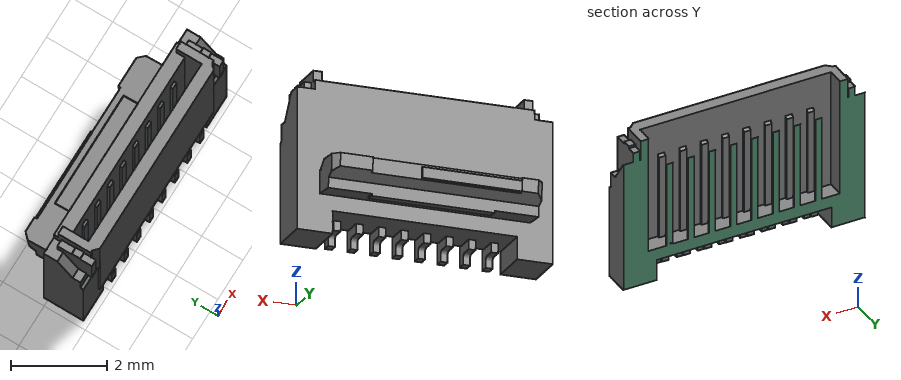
import cadquery as cq
import math

LENGTH = 5.7
HEIGHT = 3.6
DEPTH = 1.87

FRONT_Y = 0.07
REAR_Y = 1.03
PLATE_BOTTOM_Y = 0.015
PLATE_TOP_Y = 0.02
PLATE_HALF = 2.265
PLATE_BOTTOM = 0.67
TOWER_HALF = 2.445
TOWER_REAR_Y = 0.93
REAR_WALL_TOP = 3.36
STEP_Y = 0.135
STEP_Z = 2.27
STEP_INNER_HALF = 2.38
EAR_TOP = 3.15
EAR_LOW = 2.615
EAR_SLOPE_TOP_Y = 0.7
EAR_SLOPE_LOW_Y = 0.33
FOOT_INNER_HALF = 2.06
FOOT_HEIGHT = 0.5

SLOT_HALF = 2.25
SLOT_FRONT_Y = 0.31
SLOT_REAR_Y = 0.72
SLOT_FLOOR = 0.8

CONTACT_COUNT = 8
CONTACT_PITCH = 0.5
CONTACT_WIDTH = 0.155
LEG_DEPTH = 0.2
LEG_BOTTOM = 0.05
LEG_TOP = 0.555
STEM_BOTTOM = 0.285
STEM_REAR_Y = 0.515
STEM_BEND_RADIUS = 0.085
BEAM_TOP = 2.85
BEAM_PROUD = 0.055
BEAM_LEAD_IN = 0.05

CLIP_INNER = 2.455
CLIP_OUTER = 2.615
CLIP_REAR_Y = 0.845
CLIP_BOTTOM = 2.55
CLIP_TOP = 3.36
CLIP_BUMP_TOP = 3.41
CLIP_BUMP_FRONT_Y = 0.29
CLIP_BUMP_REAR_Y = 0.495

LEVER_HALF = 2.34
LEVER_PIVOT_Z = 1.55
LEVER_TILT = 4.6
LEVER_REACH = (DEPTH - REAR_Y) / math.cos(math.radians(LEVER_TILT))
LEVER_THICKNESS = 0.7
LEVER_ROOT = 0.115
LEVER_HEEL_REACH = 0.54
LEVER_HEEL_DROP = 0.475
LEVER_LIP_DROP = 0.29
LEVER_CORNER_X = 0.135
LEVER_CORNER_Y = 0.15
CORNER_NOTCH_WIDTH = 0.085
CORNER_NOTCH_REACH = 0.24
CORNER_NOTCH_RUN = 0.19
CORNER_NOTCH_DROP = 0.18
RELIEF_HALF = 2.04
RELIEF_REACH = 0.175
RELIEF_RUN = 0.135
RELIEF_DROP = 0.095
RELIEF_END_DROP = 0.22
POCKET_HALF = 1.37
POCKET_FRONT = 0.24
POCKET_REAR = 0.64
POCKET_DROP = 0.045
POCKET_WALL_RUN = 0.055
EDGE_NOTCH_LEFT = -1.845
EDGE_NOTCH_RIGHT = 1.48
EDGE_NOTCH_DEPTH = 0.055
LEDGE_RIGHT = 0.37
LEDGE_PROUD = 0.045
LEDGE_DROP = 0.055
PAD_LENGTH = 0.21
PAD_THICKNESS = 0.045


def box(x0, x1, y0, y1, z0, z1):
    """Box spanning the given corner coordinates."""
    return cq.Workplane("XY").box(x1 - x0, y1 - y0, z1 - z0, centered=False).translate((x0, y0, z0))


def side_prism(points, x0, x1):
    """Outline of (y, z) points extruded along X from x0 to x1."""
    return cq.Workplane("YZ").polyline(points).close().extrude(x1 - x0).translate((x0, 0, 0))


def both_sides(solid):
    """The solid together with its mirror image across the X = 0 plane."""
    return solid.union(solid.mirror("YZ"))


def make_housing():
    step_run = STEP_Y - FRONT_Y
    frame_outline = [
        (FRONT_Y, 0),
        (REAR_Y, 0),
        (REAR_Y, EAR_TOP),
        (EAR_SLOPE_TOP_Y, EAR_TOP),
        (EAR_SLOPE_LOW_Y, EAR_LOW),
        (STEP_Y, EAR_LOW),
        (STEP_Y, STEP_Z),
        (FRONT_Y, STEP_Z - step_run),
    ]
    frame = side_prism(frame_outline, -LENGTH / 2, LENGTH / 2)
    tower_base = box(-TOWER_HALF, TOWER_HALF, STEP_Y, REAR_Y, FOOT_HEIGHT, REAR_WALL_TOP)
    tower = box(-TOWER_HALF, TOWER_HALF, STEP_Y, TOWER_REAR_Y, FOOT_HEIGHT, HEIGHT)

    plate_outline = [
        (PLATE_BOTTOM_Y, PLATE_BOTTOM),
        (STEP_Y, PLATE_BOTTOM),
        (STEP_Y, HEIGHT),
        (PLATE_TOP_Y, HEIGHT),
    ]
    plate = side_prism(plate_outline, -PLATE_HALF, PLATE_HALF)
    bevel_bottom = STEP_Z - step_run
    plate_bevel = (
        cq.Workplane("XY")
        .polyline([
            (PLATE_HALF, PLATE_TOP_Y),
            (STEP_INNER_HALF, STEP_Y),
            (-STEP_INNER_HALF, STEP_Y),
            (-PLATE_HALF, PLATE_TOP_Y),
        ])
        .close()
        .extrude(HEIGHT - bevel_bottom)
        .translate((0, 0, bevel_bottom))
    )

    leg_space = box(-FOOT_INNER_HALF, FOOT_INNER_HALF, 0, REAR_Y, 0, FOOT_HEIGHT)
    slot = box(-SLOT_HALF, SLOT_HALF, SLOT_FRONT_Y, SLOT_REAR_Y, SLOT_FLOOR, HEIGHT)
    open_rear = box(-SLOT_HALF, SLOT_HALF, SLOT_REAR_Y, REAR_Y, REAR_WALL_TOP, HEIGHT)

    housing = frame.union(tower_base).union(tower).union(plate).union(plate_bevel)
    return housing.cut(leg_space).cut(slot).cut(open_rear)


def make_contact(x):
    """One contact: a solder leg below the housing and two beams facing each other in the slot."""
    x0 = x - CONTACT_WIDTH / 2
    x1 = x + CONTACT_WIDTH / 2
    leg = (
        cq.Workplane("YZ")
        .moveTo(0, LEG_BOTTOM)
        .lineTo(LEG_DEPTH, LEG_BOTTOM)
        .lineTo(LEG_DEPTH, STEM_BOTTOM - STEM_BEND_RADIUS)
        .radiusArc((LEG_DEPTH + STEM_BEND_RADIUS, STEM_BOTTOM), STEM_BEND_RADIUS)
        .lineTo(STEM_REAR_Y, STEM_BOTTOM)
        .lineTo(STEM_REAR_Y, LEG_TOP)
        .lineTo(0, LEG_TOP)
        .close()
        .extrude(x1 - x0)
        .translate((x0, 0, 0))
    )

    def beam(wall_y, inward):
        face_y = wall_y + inward * BEAM_PROUD
        outline = [
            (wall_y, SLOT_FLOOR),
            (face_y, SLOT_FLOOR),
            (face_y, BEAM_TOP - BEAM_LEAD_IN),
            (wall_y, BEAM_TOP),
        ]
        return side_prism(outline, x0, x1)

    return leg.union(beam(SLOT_FRONT_Y, 1)).union(beam(SLOT_REAR_Y, -1))


def make_clips():
    blade = box(CLIP_INNER, CLIP_OUTER, 0, CLIP_REAR_Y, CLIP_BOTTOM, CLIP_TOP)
    bump = box(CLIP_INNER, CLIP_OUTER, CLIP_BUMP_FRONT_Y, CLIP_BUMP_REAR_Y, CLIP_TOP, CLIP_BUMP_TOP)
    return both_sides(blade.union(bump))


def make_lever():
    """Lever built level, with Y measured from the rear face and Z from the lever top."""
    lever = side_prism(
        [
            (-LEVER_ROOT, 0),
            (LEVER_REACH, 0),
            (LEVER_REACH, -LEVER_LIP_DROP),
            (LEVER_HEEL_REACH, -LEVER_HEEL_DROP),
            (LEVER_HEEL_REACH, -LEVER_THICKNESS),
            (-LEVER_ROOT, -LEVER_THICKNESS),
        ],
        -LEVER_HALF,
        LEVER_HALF,
    )

    corner = (
        cq.Workplane("XY")
        .polyline([
            (LEVER_HALF, LEVER_REACH),
            (LEVER_HALF - LEVER_CORNER_X, LEVER_REACH),
            (LEVER_HALF, LEVER_REACH - LEVER_CORNER_Y),
        ])
        .close()
        .extrude(-LEVER_THICKNESS)
    )

    def root_cut(reach, run, drop, end_drop, x0, x1):
        """Sloped cut that falls toward the housing, changing slope once before the buried root."""
        outline = [(reach, 0), (reach - run, -drop), (-LEVER_ROOT, -end_drop), (-LEVER_ROOT, 0)]
        return side_prism(outline, x0, x1)

    corner_notch = root_cut(
        CORNER_NOTCH_REACH,
        CORNER_NOTCH_RUN,
        CORNER_NOTCH_DROP,
        CORNER_NOTCH_DROP,
        LEVER_HALF - CORNER_NOTCH_WIDTH,
        LEVER_HALF,
    )
    relief = root_cut(RELIEF_REACH, RELIEF_RUN, RELIEF_DROP, RELIEF_END_DROP, -RELIEF_HALF, RELIEF_HALF)
    pocket = side_prism(
        [
            (POCKET_FRONT, 0),
            (POCKET_REAR, 0),
            (POCKET_REAR, -POCKET_DROP),
            (POCKET_FRONT + POCKET_WALL_RUN, -POCKET_DROP),
        ],
        -POCKET_HALF,
        POCKET_HALF,
    )
    notch_y = LEVER_REACH - EDGE_NOTCH_DEPTH
    edge_notch = box(EDGE_NOTCH_LEFT, EDGE_NOTCH_RIGHT, notch_y, LEVER_REACH, -LEVER_THICKNESS, 0)
    ledge = box(EDGE_NOTCH_LEFT, LEDGE_RIGHT, notch_y, notch_y + LEDGE_PROUD, -LEVER_LIP_DROP, -LEDGE_DROP)
    pad = box(
        -POCKET_HALF,
        POCKET_HALF,
        LEVER_HEEL_REACH - PAD_LENGTH,
        LEVER_HEEL_REACH,
        -LEVER_THICKNESS - PAD_THICKNESS,
        -LEVER_THICKNESS,
    )

    lever = lever.cut(both_sides(corner)).cut(both_sides(corner_notch)).cut(relief)
    lever = lever.cut(pocket).cut(edge_notch).union(ledge).union(pad)
    return lever.rotate((0, 0, 0), (1, 0, 0), -LEVER_TILT).translate((0, REAR_Y, LEVER_PIVOT_Z))


result = make_housing().union(make_clips()).union(make_lever())
for index in range(CONTACT_COUNT):
    contact_x = (index - (CONTACT_COUNT - 1) / 2) * CONTACT_PITCH
    result = result.union(make_contact(contact_x))